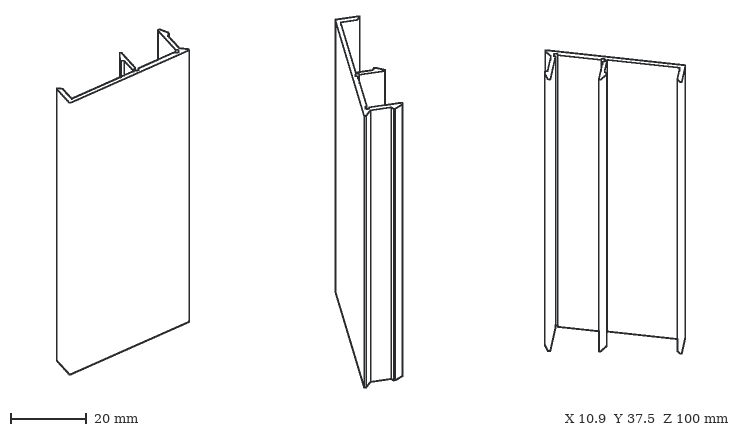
import cadquery as cq

LENGTH = 100.0
HEIGHT = 37.5

UPPER_WEB = 1.45
LOWER_WEB = 1.2
RELIEF_RADIUS = 0.55

LIP_LAND = 0.5
LIP_RUN = 1.6
LIP_HEIGHT = 1.8

UPPER_THICKNESS = 1.2
UPPER_TOP = HEIGHT - LIP_HEIGHT
UPPER_BOTTOM = UPPER_TOP - UPPER_THICKNESS
UPPER_REACH = 10.93
UPPER_NOSE = 0.65

MIDDLE_THICKNESS = 1.05
MIDDLE_TOP = 21.85
MIDDLE_BOTTOM = MIDDLE_TOP - MIDDLE_THICKNESS
MIDDLE_REACH = 9.0
MIDDLE_NOSE = 0.45

RIDGE_HEIGHT = 0.7
RIDGE_RAMP = 2.25
RIDGE_CREST = 0.5
RIDGE_BACK = 0.5

BOTTOM_THICKNESS = 1.35
BOTTOM_REACH = 6.6
BOTTOM_CHAMFER = 0.95

TIP_RADIUS = 0.25


def extrude_outline(points):
    return cq.Workplane("XY").polyline(points).close().extrude(LENGTH)


def round_edges(body, selector):
    return body.edges("|Z").edges(selector).fillet(TIP_RADIUS)


def make_web():
    return extrude_outline([
        (0, 0),
        (0, HEIGHT),
        (-LIP_LAND, HEIGHT),
        (-LIP_LAND - LIP_RUN, UPPER_TOP),
        (-UPPER_WEB, UPPER_BOTTOM),
        (-UPPER_WEB, MIDDLE_TOP),
        (-LOWER_WEB, MIDDLE_BOTTOM),
        (-LOWER_WEB, 0),
    ])


def make_snap_flange(reach, plain_face, ridge_face, nose):
    """Flange whose ridge stands on ridge_face, away from plain_face."""
    outward = 1 if ridge_face > plain_face else -1
    crest = ridge_face + outward * RIDGE_HEIGHT
    crest_start = -reach + RIDGE_RAMP
    crest_end = crest_start + RIDGE_CREST
    flange = extrude_outline([
        (0, plain_face),
        (-reach, plain_face),
        (-reach, plain_face + outward * nose),
        (crest_start, crest),
        (crest_end, crest),
        (crest_end + RIDGE_BACK, ridge_face),
        (0, ridge_face),
    ])
    return round_edges(flange, "<X")


def make_bottom_flange():
    flange = extrude_outline([
        (0, 0),
        (-BOTTOM_REACH, 0),
        (-BOTTOM_REACH, BOTTOM_THICKNESS - BOTTOM_CHAMFER),
        (-BOTTOM_REACH + BOTTOM_CHAMFER, BOTTOM_THICKNESS),
        (0, BOTTOM_THICKNESS),
    ])
    return round_edges(flange, "not >X")


def make_corner_reliefs():
    """Round grooves in the two corners of the upper channel."""
    corners = [(-UPPER_WEB, UPPER_BOTTOM), (-UPPER_WEB, MIDDLE_TOP)]
    return cq.Workplane("XY").pushPoints(corners).circle(RELIEF_RADIUS).extrude(LENGTH)


profile = (
    make_web()
    .union(make_snap_flange(UPPER_REACH, UPPER_BOTTOM, UPPER_TOP, UPPER_NOSE))
    .union(make_snap_flange(MIDDLE_REACH, MIDDLE_TOP, MIDDLE_BOTTOM, MIDDLE_NOSE))
    .union(make_bottom_flange())
    .cut(make_corner_reliefs())
)

result = round_edges(profile, ">X and <Y")